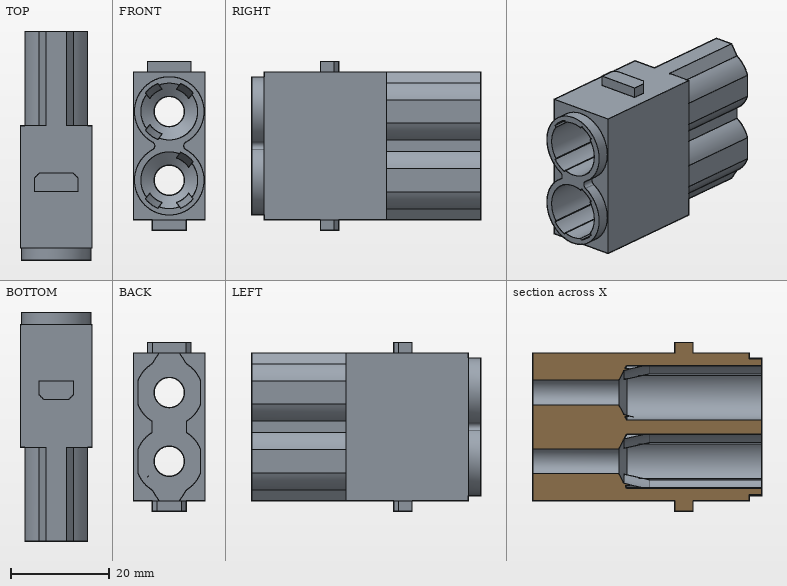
import cadquery as cq
import math

total_length = 46.7
collar_length = 2.5
rear_length = 19.2
body_width = 14.6
body_height = 30.2
contact_pitch = 14.0
rear_start = total_length - rear_length

collar_radius = 7.1
neck_fillet = 0.9

bore_radius = 5.8
bore_depth = rear_start
wire_radius = 6.1 / 2
floor_angle = 30.0

key_width = 3.18
groove_radius = 6.15
ramp_inner_radius = 4.75
ramp_angle = 75.0
key_direction = 53.0
upper_key_angles = (key_direction, 180 - key_direction, 180 + key_direction)
lower_key_angles = (key_direction, 180 + key_direction, -key_direction)

lobe_radius = 6.8
lobe_half_width = 6.4
lobe_half_chord = 5.85
rear_top_half_width = 2.05

tab_height = 2.1
tab_start = 14.0
tab_length = 3.8
tab_chamfer = 1.0
top_tab_width = 8.85
bottom_tab_width = 7.0

upper_z = contact_pitch / 2
lower_z = -contact_pitch / 2


def section_plane(y):
    """Workplane across the part at the given Y: local x is X, local y is Z."""
    return cq.Workplane("XZ", origin=(0, y, 0))


def make_body():
    length = rear_start - collar_length
    return section_plane(collar_length).rect(body_width, body_height).extrude(-length)


def make_collar():
    """Two rings merged by a neck whose concave sides are tangent to both."""
    fillet_x = math.sqrt((collar_radius + neck_fillet) ** 2 - upper_z**2)
    share = collar_radius / (collar_radius + neck_fillet)
    tangent_x = share * fillet_x
    tangent_z = upper_z * (1 - share)
    waist_x = fillet_x - neck_fillet
    outer_z = upper_z + collar_radius
    return (
        section_plane(0)
        .moveTo(tangent_x, tangent_z)
        .threePointArc((0, outer_z), (-tangent_x, tangent_z))
        .threePointArc((-waist_x, 0), (-tangent_x, -tangent_z))
        .threePointArc((0, -outer_z), (tangent_x, -tangent_z))
        .threePointArc((waist_x, 0), (tangent_x, tangent_z))
        .close()
        .extrude(-collar_length)
    )


def make_lobe(center_z):
    disc = section_plane(rear_start).center(0, center_z).circle(lobe_radius).extrude(-rear_length)
    trim = (
        section_plane(rear_start)
        .center(0, center_z)
        .rect(2 * lobe_half_width, 2 * lobe_half_chord)
        .extrude(-rear_length)
    )
    return disc.intersect(trim)


def make_rear():
    """Lobes joined by a web that tapers towards the top and bottom faces."""
    web_half_width = math.sqrt(lobe_radius**2 - lobe_half_chord**2)
    shoulder_z = upper_z + lobe_half_chord
    top_z = body_height / 2
    web = (
        section_plane(rear_start)
        .polyline(
            [
                (web_half_width, -shoulder_z),
                (web_half_width, shoulder_z),
                (rear_top_half_width, top_z),
                (-rear_top_half_width, top_z),
                (-web_half_width, shoulder_z),
                (-web_half_width, -shoulder_z),
                (-rear_top_half_width, -top_z),
                (rear_top_half_width, -top_z),
            ]
        )
        .close()
        .extrude(-rear_length)
    )
    return web.union(make_lobe(upper_z)).union(make_lobe(lower_z))


def make_tab(width, base_z):
    """Tab rising from base_z, with its two rear corners cut off."""
    return (
        cq.Workplane("XY", origin=(0, tab_start + tab_length / 2, base_z))
        .rect(width, tab_length)
        .extrude(tab_height)
        .edges("|Z and >Y")
        .chamfer(tab_chamfer)
    )


def revolve_about_y(profile):
    """Solid of revolution about the Y axis from (radius, y) points."""
    return cq.Workplane("XY").polyline(profile).close().revolve(360, (0, 0, 0), (0, 1, 0))


def make_cavity(key_angles):
    """Contact cavity on the Y axis, with a key groove and ramp at each angle."""
    floor_slope = math.tan(math.radians(floor_angle))
    ramp_slope = math.tan(math.radians(ramp_angle))
    floor_end = bore_depth + (bore_radius - wire_radius) * floor_slope
    ramp_end = bore_depth + (bore_radius - ramp_inner_radius) * floor_slope
    ramp_start = ramp_end - (groove_radius - ramp_inner_radius) * ramp_slope

    bore = revolve_about_y(
        [(0, 0), (bore_radius, 0), (bore_radius, bore_depth), (wire_radius, floor_end), (0, floor_end)]
    )
    keyed_bore = revolve_about_y(
        [
            (0, 0),
            (groove_radius, 0),
            (groove_radius, ramp_start),
            (ramp_inner_radius, ramp_end),
            (wire_radius, floor_end),
            (0, floor_end),
        ]
    )
    groove_ring = keyed_bore.cut(bore)
    ramp_ring = bore.cut(keyed_bore)
    window = (
        section_plane(0)
        .center(groove_radius, 0)
        .rect(2 * groove_radius, key_width)
        .extrude(-total_length)
    )

    cavity = bore.union(section_plane(0).circle(wire_radius).extrude(-total_length))
    for angle in key_angles:
        key_window = window.rotate((0, 0, 0), (0, 1, 0), -angle)
        cavity = cavity.union(groove_ring.intersect(key_window))
        cavity = cavity.cut(ramp_ring.intersect(key_window))
    return cavity


result = (
    make_body()
    .union(make_collar())
    .union(make_rear())
    .union(make_tab(top_tab_width, body_height / 2))
    .union(make_tab(bottom_tab_width, -body_height / 2 - tab_height))
    .cut(make_cavity(upper_key_angles).translate((0, 0, upper_z)))
    .cut(make_cavity(lower_key_angles).translate((0, 0, lower_z)))
)